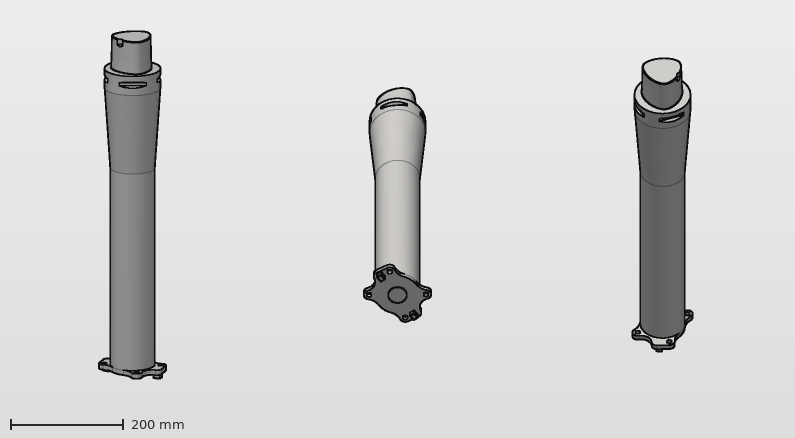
import cadquery as cq
import math

TOTAL_HEIGHT = 628.0
PLATE_BOTTOM = 9.5
PLATE_TOP = 19.0
SPIGOT_BOTTOM = 7.5
CONE_BOTTOM = 384.5
COLLAR_BOTTOM = 533.5
COLLAR_TOP = 568.5

TUBE_RADIUS = 80.0 / 2
COLLAR_RADIUS = 100.0 / 2
SPIGOT_RADIUS = 33.0 / 2

SHANK_DIAMETER = 72.0
LOBE_COUNT = 3
LOBE_HEIGHT = 2.8
SHANK_TAPER = 1 / 20
SHANK_FOOT = 0.5
SHANK_BEVEL = 1.0
SECTION_POINTS = 60

NOTCH_RADIUS = 9.5
NOTCH_AXIS_Y = -38.0
NOTCH_DEPTH = 9.5
NOTCH_TIP_HEIGHT = 7.5

GROOVE_COUNT = 4
GROOVE_START_ANGLE = 45.0
GROOVE_HEIGHT = 552.0
GROOVE_FLOOR_DISTANCE = 44.0
GROOVE_FLOOR_WIDTH = 5.5
GROOVE_MOUTH_WIDTH = 11.0

PLATE_LENGTH = 118.0
EAR_X = 40.0
EAR_Y = 31.0
EAR_RADIUS = 9.5
SCREW_HOLE_DIAMETER = 9.0
LUG_RADIUS = 9.0
LUG_X = PLATE_LENGTH / 2 - LUG_RADIUS
LUG_Y = 10.5
HUB_SCOOP_RADIUS = 28.0
LUG_SCOOP_RADIUS = 19.0

KEY_DISTANCE = 50.0
KEY_ANGLE = 17.5
KEY_LENGTH = 12.5
KEY_WIDTH = 10.0
KEY_EDGE = 1.0


def make_body():
    """Tube, cone and collar turned as one piece, with the spigot below."""
    half_profile = [
        (0, SPIGOT_BOTTOM),
        (SPIGOT_RADIUS, SPIGOT_BOTTOM),
        (SPIGOT_RADIUS, PLATE_BOTTOM),
        (TUBE_RADIUS, PLATE_BOTTOM),
        (TUBE_RADIUS, CONE_BOTTOM),
        (COLLAR_RADIUS, COLLAR_BOTTOM),
        (COLLAR_RADIUS, COLLAR_TOP),
        (0, COLLAR_TOP),
    ]
    return cq.Workplane("XZ").polyline(half_profile).close().revolve(360, (0, 0), (0, 1))


def lobed_point(radius, angle):
    """Point of a constant-width curve whose tangent has its normal at the given angle."""
    reach = radius - LOBE_HEIGHT * math.sin(LOBE_COUNT * angle)
    slide = -LOBE_COUNT * LOBE_HEIGHT * math.cos(LOBE_COUNT * angle)
    x = reach * math.cos(angle) - slide * math.sin(angle)
    y = reach * math.sin(angle) + slide * math.cos(angle)
    return x, y


def lobed_section(radius, height):
    """Closed smooth wire around the shank at one height."""
    step = 2 * math.pi / SECTION_POINTS
    points = [lobed_point(radius, step * i) for i in range(SECTION_POINTS)]
    edge = cq.Edge.makeSpline([cq.Vector(x, y, height) for x, y in points], periodic=True)
    return cq.Wire.assembleEdges([edge])


def shank_radius(height):
    return (SHANK_DIAMETER - SHANK_TAPER * (height - COLLAR_TOP)) / 2


def make_shank():
    """Taper with a flared foot and a bevelled top edge."""
    foot_top = COLLAR_TOP + SHANK_FOOT
    bevel_bottom = TOTAL_HEIGHT - SHANK_BEVEL
    sections = [
        lobed_section(shank_radius(COLLAR_TOP) + SHANK_FOOT, COLLAR_TOP),
        lobed_section(shank_radius(foot_top), foot_top),
        lobed_section(shank_radius(bevel_bottom), bevel_bottom),
        lobed_section(shank_radius(TOTAL_HEIGHT) - SHANK_BEVEL, TOTAL_HEIGHT),
    ]
    return cq.Workplane(cq.Solid.makeLoft(sections, True))


def make_notch():
    """Vertical drill cut with a conical tip, open to the side."""
    floor = TOTAL_HEIGHT - NOTCH_DEPTH
    half_profile = [
        (0, TOTAL_HEIGHT),
        (NOTCH_RADIUS, TOTAL_HEIGHT),
        (NOTCH_RADIUS, floor),
        (0, floor - NOTCH_TIP_HEIGHT),
    ]
    drill = cq.Workplane("XZ").polyline(half_profile).close().revolve(360, (0, 0), (0, 1))
    return drill.translate((0, NOTCH_AXIS_Y, 0))


def make_groove(angle):
    """Straight groove with sloping walls, cut across the collar."""
    depth = COLLAR_RADIUS - GROOVE_FLOOR_DISTANCE
    wall_slope = (GROOVE_MOUTH_WIDTH - GROOVE_FLOOR_WIDTH) / 2 / depth
    outer = COLLAR_RADIUS + depth
    half_floor = GROOVE_FLOOR_WIDTH / 2
    half_outer = half_floor + wall_slope * (outer - GROOVE_FLOOR_DISTANCE)
    profile = [
        (GROOVE_FLOOR_DISTANCE, GROOVE_HEIGHT - half_floor),
        (outer, GROOVE_HEIGHT - half_outer),
        (outer, GROOVE_HEIGHT + half_outer),
        (GROOVE_FLOOR_DISTANCE, GROOVE_HEIGHT + half_floor),
    ]
    groove = cq.Workplane("XZ").polyline(profile).close().extrude(COLLAR_RADIUS, both=True)
    return groove.rotate((0, 0, 0), (0, 0, 1), angle)


def toward(start, end, distance):
    """Point at a distance from start in the direction of end."""
    ratio = distance / math.dist(start, end)
    return start[0] + ratio * (end[0] - start[0]), start[1] + ratio * (end[1] - start[1])


def scoop(first, first_radius, second, second_radius, radius):
    """Start, middle and end of a hollow arc tangent to two circles, on the right going first to second."""
    span = math.dist(first, second)
    reach = first_radius + radius
    along = (span**2 + reach**2 - (second_radius + radius) ** 2) / (2 * span)
    aside = math.sqrt(reach**2 - along**2)
    ux = (second[0] - first[0]) / span
    uy = (second[1] - first[1]) / span
    center = (first[0] + along * ux + aside * uy, first[1] + along * uy - aside * ux)
    start = toward(center, first, radius)
    end = toward(center, second, radius)
    chord_middle = ((start[0] + end[0]) / 2, (start[1] + end[1]) / 2)
    return start, toward(center, chord_middle, radius), end


def point_on_circle(center, radius, angle):
    return center[0] + radius * math.cos(angle), center[1] + radius * math.sin(angle)


def opposite(point):
    return -point[0], -point[1]


def bulge(center, radius, start, end):
    """Middle of the outward arc of an ear or lug between two of its points."""
    chord_middle = ((start[0] + end[0]) / 2, (start[1] + end[1]) / 2)
    return toward(center, chord_middle, radius)


def make_plate():
    """Ears and lugs blended into the hub, the same after half a turn."""
    hub = (0, 0)
    lug_ear = (-EAR_X, -EAR_Y)
    plain_ear = (EAR_X, -EAR_Y)
    lug = (LUG_X, LUG_Y)

    into_hub = scoop(lug_ear, EAR_RADIUS, hub, TUBE_RADIUS, HUB_SCOOP_RADIUS)
    from_hub = scoop(hub, TUBE_RADIUS, plain_ear, EAR_RADIUS, HUB_SCOOP_RADIUS)
    into_lug = scoop(plain_ear, EAR_RADIUS, lug, LUG_RADIUS, LUG_SCOOP_RADIUS)

    far_ear = opposite(lug_ear)
    lean = math.atan2(lug[0] - far_ear[0], far_ear[1] - lug[1])
    normal = lean + math.asin((LUG_RADIUS - EAR_RADIUS) / math.dist(lug, far_ear))
    edge_start = point_on_circle(lug, LUG_RADIUS, normal)
    edge_end = point_on_circle(far_ear, EAR_RADIUS, normal)

    ear_start = opposite(edge_end)
    half_outline = [
        (bulge(lug_ear, EAR_RADIUS, ear_start, into_hub[0]), into_hub[0]),
        (into_hub[1], into_hub[2]),
        ((0, -TUBE_RADIUS), from_hub[0]),
        (from_hub[1], from_hub[2]),
        (bulge(plain_ear, EAR_RADIUS, from_hub[2], into_lug[0]), into_lug[0]),
        (into_lug[1], into_lug[2]),
        (bulge(lug, LUG_RADIUS, into_lug[2], edge_start), edge_start),
    ]
    outline = cq.Workplane("XY", origin=(0, 0, PLATE_BOTTOM)).moveTo(*ear_start)
    for middle, end in half_outline:
        outline = outline.threePointArc(middle, end)
    outline = outline.lineTo(*edge_end)
    for middle, end in half_outline:
        outline = outline.threePointArc(opposite(middle), opposite(end))
    return outline.close().extrude(PLATE_TOP - PLATE_BOTTOM)


def make_screw_holes():
    """Clearance holes through the ears of the plate."""
    holes = cq.Workplane("XY", origin=(0, 0, PLATE_BOTTOM))
    holes = holes.rect(2 * EAR_X, 2 * EAR_Y, forConstruction=True).vertices()
    return holes.circle(SCREW_HOLE_DIAMETER / 2).extrude(PLATE_TOP - PLATE_BOTTOM)


def make_key(angle):
    """Block under a lug, aligned with the radius, with its lower edges bevelled."""
    key = cq.Workplane("XY").center(KEY_DISTANCE, 0).rect(KEY_LENGTH, KEY_WIDTH).extrude(PLATE_BOTTOM)
    key = key.faces("<Z").edges().chamfer(KEY_EDGE)
    return key.rotate((0, 0, 0), (0, 0, 1), angle)


result = make_body().union(make_shank()).cut(make_notch())
for index in range(GROOVE_COUNT):
    result = result.cut(make_groove(GROOVE_START_ANGLE + index * 360 / GROOVE_COUNT))
result = result.union(make_plate()).cut(make_screw_holes())
for key_angle in (KEY_ANGLE, KEY_ANGLE + 180):
    result = result.union(make_key(key_angle))